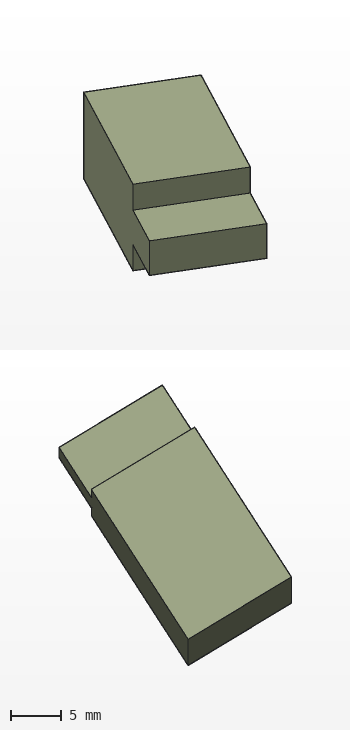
import cadquery as cq

total_length = 24.0
width = 12.0
body_height = 10.0

tongue_length = 6.0
tongue_thickness = 4.0

body_length = total_length - tongue_length


def block_from(start_x, length, height):
    """Full-width block running along +X from start_x, centred on the X axis."""
    return (
        cq.Workplane("XY")
        .box(length, width, height, centered=(False, True, True))
        .translate((start_x, 0, 0))
    )


body = block_from(0, body_length, body_height)
tongue = block_from(body_length, tongue_length, tongue_thickness)

result = body.union(tongue)